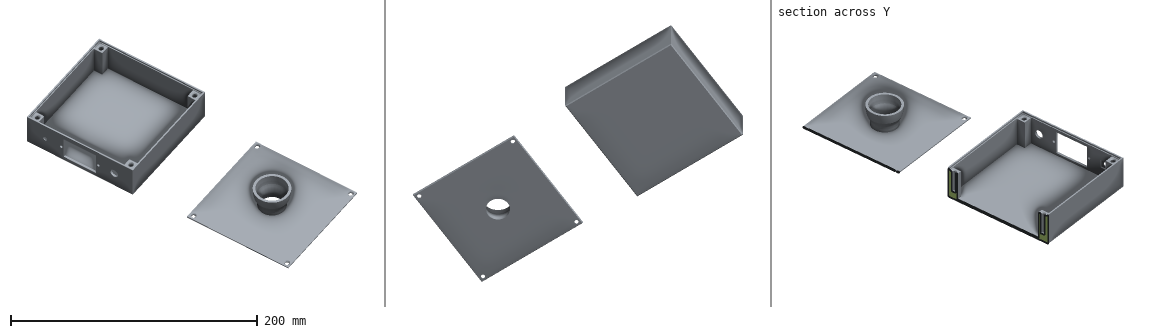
import cadquery as cq

box_side = 104.0
box_height = 30.0
wall = 2.0
floor_thickness = 2.0
lid_gap = 2.0
bottom_chamfer = 0.8

lid_side = 99.5
lid_thickness = 1.5
lid_chamfer = 0.5
lid_right_end = 253.8
lid_x = lid_right_end - lid_side / 2
lid_offset_y = 2.0
lid_y = box_side / 2 + lid_offset_y

post_side = 8.0
screw_spacing = 92.0
post_hole_diameter = 3.8
post_hole_depth = 20.3
post_drop = 0.5
post_hole_mouth = 5.3
lid_hole_diameter = 3.5
lid_hole_mouth = 5.0

rim_side = lid_side + lid_gap
rim_depth = lid_thickness

opening_z = box_height / 2
window_width = 31.7
window_height = 21.0
window_screw_diameter = 2.5
window_screw_spacing = 36.5
jack_diameter = 7.5
jack_offset = 33.8
button_diameter = 3.8
button_offset = -34.0
button_pocket_side = 7.5
button_skin = 0.63

cup_bore = 19.5
cup_base_diameter = 24.0
cup_middle_diameter = 29.2
cup_rim_diameter = 31.5
cup_wall = (cup_base_diameter - cup_bore) / 2
cup_base_top = 4.5
cup_middle_z = 12.2
cup_inner_middle_z = 13.0
cup_top = 21.0


def screw_points(center_x, center_y):
    half = screw_spacing / 2
    return [(center_x + sx * half, center_y + sy * half) for sx in (-1, 1) for sy in (-1, 1)]


def countersunk_hole(x, y, top, diameter, mouth, depth):
    """Cutter for a vertical hole with a 45 degree countersink at its top."""
    radius = diameter / 2
    sink = (mouth - diameter) / 2
    profile = [
        (0, top),
        (mouth / 2, top),
        (radius, top - sink),
        (radius, top - depth),
        (0, top - depth),
    ]
    section = cq.Workplane("XZ").polyline(profile).close()
    return section.revolve(360, (0, 0, 0), (0, 1, 0)).translate((x, y, 0))


def centered_block(side, bottom, top):
    """Square block on the housing axis."""
    block = cq.Workplane("XY").box(side, side, top - bottom, centered=(True, True, False))
    return block.translate((box_side / 2, box_side / 2, bottom))


def front_hole(offset, diameter):
    """Cutter for a round hole through the front wall."""
    plane = cq.Workplane("XZ", origin=(box_side / 2 + offset, 0, opening_z))
    return plane.circle(diameter / 2).extrude(-wall)


def make_housing():
    cavity_side = box_side - 2 * wall
    step_z = box_height - rim_depth
    post_top = step_z - post_drop
    housing = centered_block(box_side, 0, box_height).faces("<Z").edges().chamfer(bottom_chamfer)
    housing = housing.cut(centered_block(cavity_side, floor_thickness, box_height))

    post_height = post_top - floor_thickness
    post_offset = (cavity_side - post_side) / 2
    for sx in (-1, 1):
        for sy in (-1, 1):
            post = cq.Workplane("XY").box(post_side, post_side, post_height, centered=(True, True, False))
            x = box_side / 2 + sx * post_offset
            y = box_side / 2 + sy * post_offset
            housing = housing.union(post.translate((x, y, floor_thickness)))

    housing = housing.cut(centered_block(rim_side, step_z, box_height))
    for x, y in screw_points(box_side / 2, box_side / 2):
        hole = countersunk_hole(x, y, post_top, post_hole_diameter, post_hole_mouth, post_hole_depth)
        housing = housing.cut(hole)

    window = cq.Workplane("XY").box(window_width, wall, window_height)
    housing = housing.cut(window.translate((box_side / 2, wall / 2, opening_z)))
    for side in (-1, 1):
        housing = housing.cut(front_hole(side * window_screw_spacing / 2, window_screw_diameter))

    housing = housing.cut(front_hole(jack_offset, jack_diameter))
    housing = housing.cut(front_hole(button_offset, button_diameter))
    pocket_depth = wall - button_skin
    pocket = cq.Workplane("XY").box(button_pocket_side, pocket_depth, button_pocket_side)
    pocket_y = button_skin + pocket_depth / 2
    return housing.cut(pocket.translate((box_side / 2 + button_offset, pocket_y, opening_z)))


def make_cup():
    """Ring whose wall flares in an S curve from the base to the rim."""
    base = cup_base_diameter / 2
    middle = cup_middle_diameter / 2
    rim = cup_rim_diameter / 2
    flare = (middle - base, cup_middle_z - cup_base_top)
    inner_flare = (base - middle, cup_base_top - cup_inner_middle_z)
    upright = (0, 1)
    downward = (0, -1)
    inner_middle = (middle - cup_wall, cup_inner_middle_z)
    inner_base = (base - cup_wall, cup_base_top)
    section = (
        cq.Workplane("XZ")
        .moveTo(base, 0)
        .lineTo(base, cup_base_top)
        .spline([(middle, cup_middle_z)], tangents=[upright, flare], includeCurrent=True)
        .spline([(rim, cup_top)], tangents=[flare, upright], includeCurrent=True)
        .lineTo(rim - cup_wall, cup_top)
        .spline([inner_middle], tangents=[downward, inner_flare], includeCurrent=True)
        .spline([inner_base], tangents=[inner_flare, downward], includeCurrent=True)
        .lineTo(base - cup_wall, 0)
        .close()
    )
    return section.revolve(360, (0, 0, 0), (0, 1, 0)).translate((lid_x, lid_y, 0))


def make_lid():
    plate = cq.Workplane("XY").box(lid_side, lid_side, lid_thickness, centered=(True, True, False))
    plate = plate.faces("<Z").edges().chamfer(lid_chamfer)
    lid = plate.faces(">Z").workplane().hole(cup_bore).translate((lid_x, lid_y, 0))
    lid = lid.union(make_cup())
    for x, y in screw_points(lid_x, lid_y):
        hole = countersunk_hole(x, y, lid_thickness, lid_hole_diameter, lid_hole_mouth, lid_thickness)
        lid = lid.cut(hole)
    return lid


housing = make_housing()
lid = make_lid()
result = cq.Compound.makeCompound([housing.val(), lid.val()])